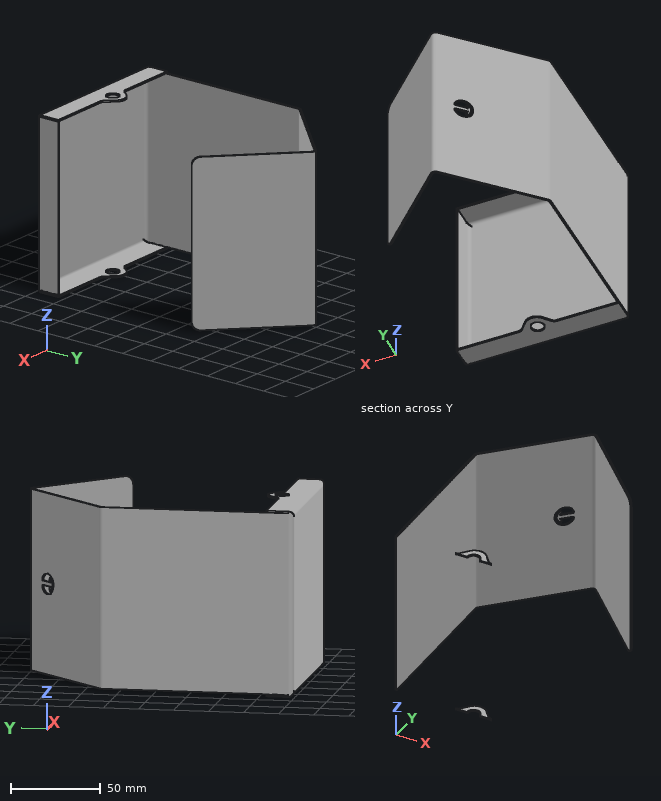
import cadquery as cq
import math

sheet = 1.0
bend_radius = 3.0
inner_bend_radius = bend_radius - sheet

width = 100.0
depth = 158.8
height = 106.0
half_width = width / 2
half_height = height / 2

flange_depth = 15.4
corner_gap = 0.2
wall_half_height = half_height - sheet - corner_gap

ear_height = 8.1
ear_radius = 7.0
ear_flank_angle = 50.0
ear_root_radius = 3.5
ear_hole_diameter = 8.0

free_corner_radius = 5.0

opening_radius = 5.9
opening_from_fold = 18.5
tongue_width = 2.5
tongue_root_radius = 0.8
head_outer_radius = 4.6
head_inner_radius = 3.0
head_half_angle = 58.0


def front_tray():
    """Front plate with four flanges, bent round its front edges and open at the back."""
    outside = (
        cq.Workplane("XY")
        .box(width, flange_depth, height, centered=(True, False, True))
        .faces("<Y").edges().fillet(bend_radius)
    )
    inside = (
        cq.Workplane("XY")
        .box(width - 2 * sheet, flange_depth, height - 2 * sheet, centered=(True, False, True))
        .faces("<Y").edges().fillet(inner_bend_radius)
        .translate((0, sheet, 0))
    )
    tray = outside.cut(inside)
    straight_depth = flange_depth - bend_radius
    straight_mid_y = bend_radius + straight_depth / 2
    mitre_length = 2 * math.sqrt(2) * bend_radius
    seam = cq.Workplane("XY").box(sheet, straight_depth, corner_gap)
    seam_x = half_width - sheet / 2
    seam_z = half_height - sheet - corner_gap / 2
    mitre = cq.Workplane("XY").box(mitre_length, 2 * bend_radius, corner_gap)
    for x_side in (-1, 1):
        for z_side in (-1, 1):
            diagonal = mitre.rotate((0, 0, 0), (0, 1, 0), -45 * x_side * z_side)
            tray = tray.cut(diagonal.translate((x_side * half_width, 0, z_side * half_height)))
            tray = tray.cut(seam.translate((x_side * seam_x, straight_mid_y, z_side * seam_z)))
    return tray


def ear():
    """Ear blending into the flange edge, drawn on the plane Z = 0 and one sheet thick."""
    flank = math.radians(ear_flank_angle)
    crown_y = flange_depth + ear_height
    crown_end_x = ear_radius * math.sin(flank)
    crown_end_y = crown_y - ear_radius * (1 - math.cos(flank))
    root_start_y = flange_depth + ear_root_radius * (1 - math.cos(flank))
    root_start_x = crown_end_x + (crown_end_y - root_start_y) / math.tan(flank)
    root_end_x = root_start_x + ear_root_radius * math.sin(flank)
    root_mid_x = root_end_x - ear_root_radius * math.sin(flank / 2)
    root_mid_y = flange_depth + ear_root_radius * (1 - math.cos(flank / 2))
    overlap_y = flange_depth / 2
    return (
        cq.Workplane("XY")
        .moveTo(-root_end_x, overlap_y)
        .lineTo(-root_end_x, flange_depth)
        .threePointArc((-root_mid_x, root_mid_y), (-root_start_x, root_start_y))
        .lineTo(-crown_end_x, crown_end_y)
        .threePointArc((0, crown_y), (crown_end_x, crown_end_y))
        .lineTo(root_start_x, root_start_y)
        .threePointArc((root_mid_x, root_mid_y), (root_end_x, flange_depth))
        .lineTo(root_end_x, overlap_y)
        .close()
        .extrude(sheet)
    )


sharp_fold_y = depth + bend_radius * (math.sqrt(2) - 1)
side_fold_y = sharp_fold_y - half_width


def side_wall_and_back():
    """Left side wall continuing into the two panels of the V-shaped back."""
    side_inner_y = side_fold_y - sheet * math.tan(math.radians(22.5))
    fold_inner_y = sharp_fold_y - sheet * math.sqrt(2)
    end_step = sheet / math.sqrt(2)
    strip = (
        cq.Workplane("XY")
        .workplane(offset=-wall_half_height)
        .polyline([
            (-half_width, bend_radius),
            (-half_width, side_fold_y),
            (0, sharp_fold_y),
            (half_width, side_fold_y),
            (half_width - end_step, side_fold_y - end_step),
            (0, fold_inner_y),
            (-half_width + sheet, side_inner_y),
            (-half_width + sheet, bend_radius),
        ])
        .close()
        .extrude(2 * wall_half_height)
    )
    bends = (
        (-half_width, side_fold_y, bend_radius),
        (0, sharp_fold_y, bend_radius),
        (-half_width + sheet, side_inner_y, inner_bend_radius),
        (0, fold_inner_y, inner_bend_radius),
    )
    for x, y, radius in bends:
        strip = strip.edges(cq.NearestToPointSelector((x, y, 0))).fillet(radius)
    for z in (-wall_half_height, wall_half_height):
        free_corner = (half_width - end_step / 2, side_fold_y - end_step / 2, z)
        strip = strip.edges(cq.NearestToPointSelector(free_corner)).fillet(free_corner_radius)
    return strip


def tongue_opening():
    """Cutter for the round opening that leaves the anchor-shaped tongue standing."""
    offset = opening_from_fold / math.sqrt(2)
    panel = cq.Plane(
        origin=(-offset, sharp_fold_y - offset, 0),
        xDir=(-1, -1, 0),
        normal=(-1, 1, 0),
    )
    cut_depth = 2 * sheet

    def on_panel():
        return cq.Workplane(panel)

    def head_point(radius, angle):
        turn = math.radians(angle)
        return (radius * math.cos(turn), radius * math.sin(turn))

    shank_length = opening_radius + head_inner_radius + sheet
    shank = (
        on_panel()
        .center(head_inner_radius + sheet / 2 - shank_length / 2, 0)
        .rect(shank_length, tongue_width)
        .extrude(cut_depth, both=True)
    )
    head = (
        on_panel()
        .moveTo(*head_point(head_outer_radius, -head_half_angle))
        .threePointArc((head_outer_radius, 0), head_point(head_outer_radius, head_half_angle))
        .lineTo(*head_point(head_inner_radius, head_half_angle))
        .threePointArc((head_inner_radius, 0), head_point(head_inner_radius, -head_half_angle))
        .close()
        .extrude(cut_depth, both=True)
    )
    opening = on_panel().circle(opening_radius).extrude(cut_depth, both=True)
    cutter = opening.cut(shank).cut(head)
    root_distance = math.sqrt(opening_radius ** 2 - (tongue_width / 2) ** 2)
    for side in (-1, 1):
        root_corner = panel.toWorldCoords((-root_distance, side * tongue_width / 2, 0))
        root_edge = cq.NearestToPointSelector(root_corner.toTuple())
        cutter = cutter.edges(root_edge).fillet(tongue_root_radius)
    return cutter


def ear_holes():
    """Cutter through both ears, centred on the flange edge."""
    return (
        cq.Workplane("XY")
        .center(0, flange_depth)
        .circle(ear_hole_diameter / 2)
        .extrude(height, both=True)
    )


top_ear = ear().translate((0, 0, half_height - sheet))
bottom_ear = ear().translate((0, 0, -half_height))

result = (
    front_tray()
    .union(side_wall_and_back().cut(tongue_opening()))
    .union(top_ear)
    .union(bottom_ear)
    .cut(ear_holes())
)